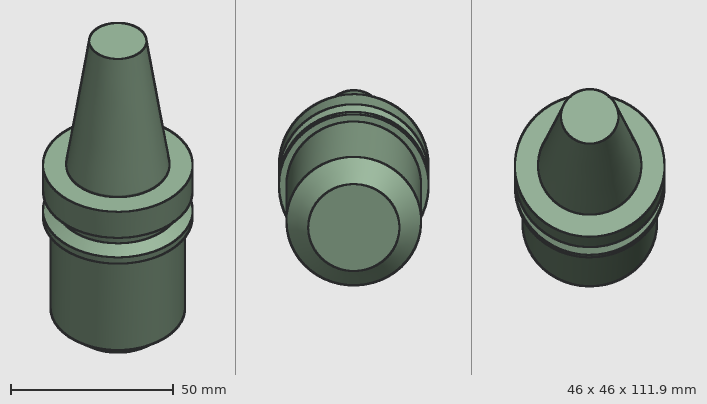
import cadquery as cq

taper_ratio = 7 / 24
gauge_radius = 31.75 / 2
taper_length = 48.4
taper_tip_radius = gauge_radius - taper_length * taper_ratio / 2
neck_length = 0.5

flange_radius = 46 / 2
flange_length = 20.5
upper_rim_length = 10.3
lower_rim_length = 2.5
groove_radius = 38 / 2
groove_flank_length = 2.3

body_radius = 41.4 / 2
nose_radius = 28 / 2
nose_chamfer_length = 6.5
overall_length = 111.9

taper_tip_z = taper_length
flange_top_z = -neck_length
groove_top_z = flange_top_z - upper_rim_length
flange_bottom_z = flange_top_z - flange_length
groove_bottom_z = flange_bottom_z + lower_rim_length
nose_z = taper_tip_z - overall_length
chamfer_top_z = nose_z + nose_chamfer_length

profile = [
    (0, nose_z),
    (nose_radius, nose_z),
    (body_radius, chamfer_top_z),
    (body_radius, flange_bottom_z),
    (flange_radius, flange_bottom_z),
    (flange_radius, groove_bottom_z),
    (groove_radius, groove_bottom_z + groove_flank_length),
    (groove_radius, groove_top_z - groove_flank_length),
    (flange_radius, groove_top_z),
    (flange_radius, flange_top_z),
    (gauge_radius, flange_top_z),
    (gauge_radius, 0),
    (taper_tip_radius, taper_tip_z),
    (0, taper_tip_z),
]

result = cq.Workplane("XZ").polyline(profile).close().revolve(360, (0, 0, 0), (0, 1, 0))